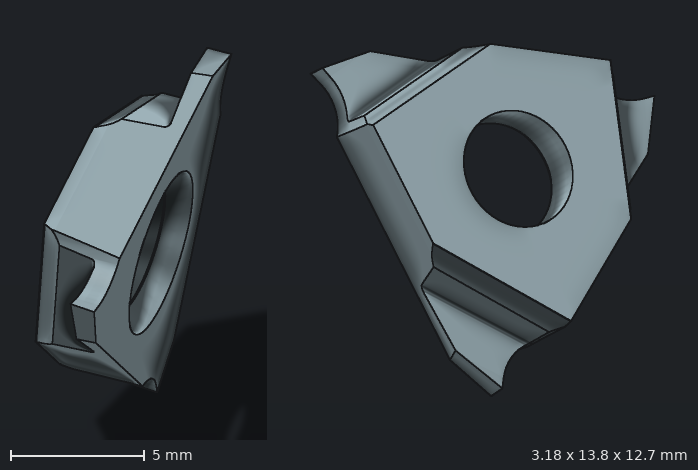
import math

import cadquery as cq

THICKNESS = 3.18
INSCRIBED_RADIUS = 4.72
SIDE_LAND = 0.49
SIDE_RELIEF = 4.0
CORNERS = 3

BORE_RADIUS = 2.25
BORE_DEPTH = 1.87
SEAT_RADIUS = 2.50
SEAT_DEPTH = 2.30
SEAT_BAND = 0.06
MOUTH_RADIUS = 3.20

TIP_POINT = (6.706, 4.321)
TIP_ANGLE = 5.0
TIP_RELIEF = 2.4
TIP_LAND = 0.04
FLANK_ARC_BOTTOM = (5.518, 4.01)
FLANK_ARC_RADIUS = 2.07
FLANK_ARC_START = -75.0
FLANK_EXIT_ANGLE = 19.8

NOTCH_ANGLE = 8.0
NOTCH_EDGE = 0.04
NOTCH_START = 4.43
BEVEL_END = (4.60, 0.42)
HOLLOW_END = (4.88, 0.825)
WALL_RELIEF = 4.0
FACE_LEAD = 3.0
FACE_CREASE = (6.76, 2.43)
FACE_ROOT_SLOPE = 3.5
FACE_TIP_SLOPE = 6.0
ROOT_FILLET = 0.19

FULL_TURN = 360
REACH = 12.0


def tan(angle):
    return math.tan(math.radians(angle))


def sin(angle):
    return math.sin(math.radians(angle))


def cos(angle):
    return math.cos(math.radians(angle))


FACE_PLANE = cq.Plane(origin=(0, 0, 0), xDir=(0, -1, 0), normal=(-1, 0, 0))


def make_blank():
    """Triangle with a flat side on top, straight near -X and tapered to +X."""
    half_side = INSCRIBED_RADIUS * tan(FULL_TURN / (2 * CORNERS))
    triangle = [
        (-half_side, INSCRIBED_RADIUS),
        (half_side, INSCRIBED_RADIUS),
        (0, -2 * INSCRIBED_RADIUS),
    ]
    land = cq.Workplane(FACE_PLANE).polyline(triangle).close().extrude(-SIDE_LAND)
    taper_plane = cq.Plane(origin=(SIDE_LAND, 0, 0), xDir=(0, 1, 0), normal=(1, 0, 0))
    mirrored = [(-right, up) for right, up in triangle]
    tapered = (
        cq.Workplane(taper_plane)
        .polyline(mirrored)
        .close()
        .extrude(THICKNESS - SIDE_LAND, taper=SIDE_RELIEF)
    )
    return land.union(tapered)


def make_bore():
    """Cylinder followed by two cones opening towards +X."""
    profile = [
        (0, 0),
        (0, -BORE_RADIUS),
        (BORE_DEPTH, -BORE_RADIUS),
        (SEAT_DEPTH, -SEAT_RADIUS),
        (SEAT_DEPTH + SEAT_BAND, -SEAT_RADIUS),
        (THICKNESS, -MOUTH_RADIUS),
        (THICKNESS, 0),
    ]
    return cq.Workplane("XZ").polyline(profile).close().revolve(FULL_TURN, (0, 0), (1, 0))


def arc_point(angle):
    """Point of the flank arc whose tangent rises at this angle."""
    right, bottom = FLANK_ARC_BOTTOM
    return (
        right + FLANK_ARC_RADIUS * sin(angle),
        bottom + FLANK_ARC_RADIUS * (1 - cos(angle)),
    )


def make_flank_cutter():
    """Everything above the hollow tooth flank."""
    entry = arc_point(FLANK_ARC_START)
    leave = arc_point(FLANK_EXIT_ANGLE)
    finish = (REACH, leave[1] + (REACH - leave[0]) * tan(FLANK_EXIT_ANGLE))
    return (
        cq.Workplane(FACE_PLANE)
        .moveTo(*entry)
        .threePointArc(FLANK_ARC_BOTTOM, leave)
        .lineTo(*finish)
        .lineTo(entry[0], finish[1])
        .close()
        .extrude(-THICKNESS)
    )


def make_tip_cutter():
    """Everything beyond the tip face, which leans so that the tooth is longest at +X."""
    right, up = TIP_POINT
    relieved_length = THICKNESS - TIP_LAND
    section = [
        (0, relieved_length * tan(TIP_RELIEF)),
        (relieved_length, 0),
        (THICKNESS, 0),
        (THICKNESS, -REACH),
        (0, -REACH),
    ]
    return (
        cq.Workplane("XY")
        .polyline(section)
        .close()
        .extrude(REACH, both=True)
        .rotate((0, 0, 0), (1, 0, 0), TIP_ANGLE)
        .translate((0, -right, up))
    )


NOTCH_ALONG = cq.Vector(0, -sin(NOTCH_ANGLE), -cos(NOTCH_ANGLE))
NOTCH_ACROSS = cq.Vector(0, -cos(NOTCH_ANGLE), sin(NOTCH_ANGLE))
NOTCH_SECTION = cq.Plane(origin=(0, 0, 0), xDir=NOTCH_ACROSS, normal=NOTCH_ALONG)


def on_section(point):
    """Turn (distance, X) into the local coordinates of the notch section."""
    distance, x = point
    return (distance, -x)


def make_step_cutter():
    """Bevel, hollow and wall of the notch, cut straight along it."""
    wall_foot = HOLLOW_END[0] + (THICKNESS - HOLLOW_END[1]) * tan(WALL_RELIEF)
    return (
        cq.Workplane(NOTCH_SECTION)
        .moveTo(*on_section((NOTCH_START, 0)))
        .lineTo(*on_section((NOTCH_START, NOTCH_EDGE)))
        .lineTo(*on_section(BEVEL_END))
        .tangentArcPoint(on_section(HOLLOW_END), relative=False)
        .lineTo(*on_section((wall_foot, THICKNESS)))
        .lineTo(*on_section((REACH, THICKNESS)))
        .lineTo(*on_section((REACH, 0)))
        .close()
        .extrude(REACH, both=True)
    )


def make_face_cutter():
    """Everything on the -X side of the creased tooth face, which falls along the notch."""
    crease, crease_x = FACE_CREASE
    root_x = crease_x + crease * tan(FACE_ROOT_SLOPE)
    outer_x = crease_x - (REACH - crease) * tan(FACE_TIP_SLOPE)
    outline = [(0, root_x), FACE_CREASE, (REACH, outer_x), (REACH, -REACH), (0, -REACH)]
    lead = (NOTCH_ALONG + cq.Vector(tan(FACE_LEAD), 0, 0)) * REACH
    wire = (
        cq.Workplane(NOTCH_SECTION)
        .polyline([on_section(point) for point in outline])
        .close()
        .val()
        .translate(lead * -1)
    )
    return cq.Workplane(cq.Solid.extrudeLinear(wire, [], lead * 2))


def make_notch_cutter():
    """Stepped notch with a rounded root between its wall and the tooth face."""
    notch = make_step_cutter().intersect(make_face_cutter())
    root_x = FACE_CREASE[1] + (FACE_CREASE[0] - HOLLOW_END[0]) * tan(FACE_ROOT_SLOPE)
    root_point = cq.Vector(root_x, 0, 0) + NOTCH_ACROSS * HOLLOW_END[0]
    return notch.edges(cq.selectors.NearestToPointSelector(root_point)).fillet(ROOT_FILLET)


def make_insert():
    """Bored blank with the same flank, tip and notch cut at every corner."""
    insert = make_blank().cut(make_bore())
    cutters = [make_flank_cutter(), make_tip_cutter(), make_notch_cutter()]
    for corner in range(CORNERS):
        for cutter in cutters:
            turned = cutter.rotate((0, 0, 0), (1, 0, 0), corner * FULL_TURN / CORNERS)
            insert = insert.cut(turned)
    return insert


result = make_insert()